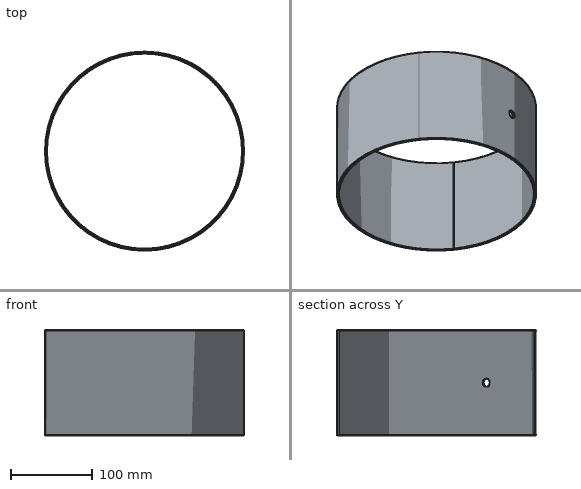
import cadquery as cq

outer_diameter = 245.0
height = 130.0
wall = 3.0
rim_chamfer = 1.0
slit_width = 1.52
hole_diameter = 10.0
hole_angle = 59.3

outer_radius = outer_diameter / 2
inner_radius = outer_radius - wall


def make_band():
    """Ring standing on Z = 0, with the inner and outer edges of both rims chamfered."""
    cylinder = cq.Workplane("XY").circle(outer_radius).extrude(height)
    bore = cq.Workplane("XY").circle(inner_radius).extrude(height)
    return cylinder.cut(bore).faces("<Z or >Z").chamfer(rim_chamfer)


def make_slit():
    """Full-height cutter that opens the band on its -X side."""
    return cq.Workplane("XY").box(
        outer_diameter, slit_width, height, centered=(True, True, False)
    ).translate((-outer_radius, 0, 0))


def make_hole():
    """Radial drill through one wall, at mid height."""
    drill = cq.Workplane("YZ").circle(hole_diameter / 2).extrude(outer_diameter)
    return drill.rotate((0, 0, 0), (0, 0, 1), hole_angle).translate((0, 0, height / 2))


result = make_band().cut(make_slit()).cut(make_hole())